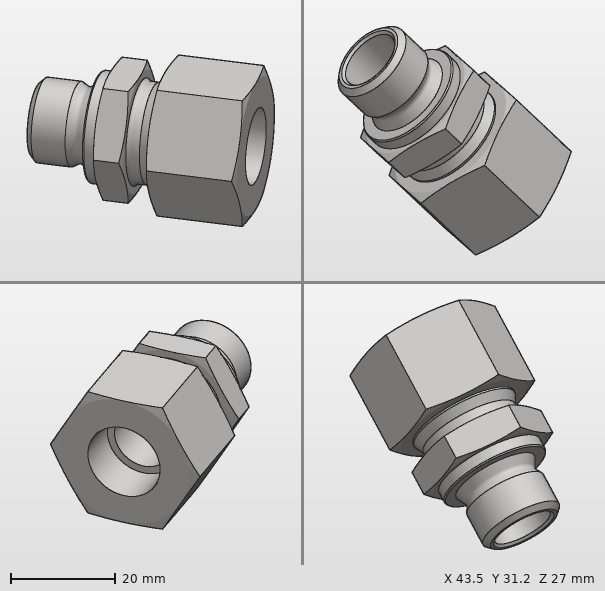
import cadquery as cq
import math


stud_thread_end = 7.87
flange_face = 12.0
collar_start = 14.55
collar_end = 20.55
relief_start = 21.5
relief_end = 23.1
tube_thread_start = 25.05
nut_start = 25.45
body_end = 34.15
nut_end = 43.5

bore_radius = 6.0
stud_radius = 8.3
neck_radius = 7.5
flange_radius = 10.95
relief_radius = 9.95
tube_thread_radius = 10.95

collar_flats = 24.0
nut_flats = 27.0
hex_chamfer_angle = 15.0

stud_chamfer = 1.15
bore_chamfer = 0.52
flange_chamfer_length = 0.3
flange_chamfer_depth = 0.2
runout_fillet = 1.3
seat_fillet = 1.0
runout_angle = 30.0
seat_angle = 27.0
relief_fillet = 1.15

tube_hole_radius = 7.53


def cylinder(start, end, radius):
    """Solid cylinder along X."""
    return cq.Workplane("YZ").workplane(offset=start).circle(radius).extrude(end - start)


def chamfered_hexagon(start, end, flats):
    """Hexagonal prism along X with its corners turned to shallow cones at both ends."""
    corner_radius = flats / math.sqrt(3)
    prism = cq.Workplane("YZ").workplane(offset=start).polygon(6, 2 * corner_radius).extrude(end - start)
    face_radius = flats / 2
    corner_cut = (corner_radius - face_radius) * math.tan(math.radians(hex_chamfer_angle))
    turned = (
        cq.Workplane("XY")
        .moveTo(start, 0)
        .lineTo(start, face_radius)
        .lineTo(start + corner_cut, corner_radius)
        .lineTo(end - corner_cut, corner_radius)
        .lineTo(end, face_radius)
        .lineTo(end, 0)
        .close()
        .revolve(360, (0, 0, 0), (1, 0, 0))
    )
    return prism.intersect(turned)


def fillet_length(fillet, angle):
    """Axial length of a neck fillet that turns from the neck direction to the given slope."""
    return fillet * math.sin(math.radians(angle))


def fillet_rise(fillet, angle):
    """Radial rise of a neck fillet that turns from the neck direction to the given slope."""
    return fillet * (1 - math.cos(math.radians(angle)))


def make_turned_profile():
    """Revolved outside of the body, from the stud end to the tube end."""
    runout_foot_radius = neck_radius + fillet_rise(runout_fillet, runout_angle)
    runout_length = (stud_radius - runout_foot_radius) / math.tan(math.radians(runout_angle))
    runout_foot = stud_thread_end + runout_length
    neck_bottom = runout_foot + fillet_length(runout_fillet, runout_angle)

    seat_foot = neck_bottom + fillet_length(seat_fillet, seat_angle)
    seat_foot_radius = neck_radius + fillet_rise(seat_fillet, seat_angle)
    seat_radius = seat_foot_radius + (flange_face - seat_foot) * math.tan(math.radians(seat_angle))

    relief_run = relief_start - collar_end
    relief_rise = relief_fillet - math.sqrt(relief_fillet**2 - relief_run**2)

    return (
        cq.Workplane("XY")
        .lineTo(0, stud_radius - stud_chamfer)
        .lineTo(stud_chamfer, stud_radius)
        .lineTo(stud_thread_end, stud_radius)
        .lineTo(runout_foot, runout_foot_radius)
        .radiusArc((neck_bottom, neck_radius), -runout_fillet)
        .radiusArc((seat_foot, seat_foot_radius), -seat_fillet)
        .lineTo(flange_face, seat_radius)
        .lineTo(flange_face, flange_radius - flange_chamfer_depth)
        .lineTo(flange_face + flange_chamfer_length, flange_radius)
        .lineTo(collar_end, flange_radius)
        .lineTo(collar_end, relief_radius + relief_rise)
        .radiusArc((relief_start, relief_radius), -relief_fillet)
        .lineTo(relief_end, relief_radius)
        .lineTo(tube_thread_start, tube_thread_radius)
        .lineTo(body_end, tube_thread_radius)
        .lineTo(body_end, 0)
        .close()
        .revolve(360, (0, 0, 0), (1, 0, 0))
    )


def make_body():
    """Stud body: turned profile, hexagon collar and a through bore chamfered at the stud end."""
    collar = chamfered_hexagon(collar_start, collar_end, collar_flats)
    bore = cylinder(0, body_end, bore_radius)
    bore_mouth = (
        cq.Workplane("XY")
        .lineTo(0, bore_radius + bore_chamfer)
        .lineTo(bore_chamfer, bore_radius)
        .lineTo(bore_chamfer, 0)
        .close()
        .revolve(360, (0, 0, 0), (1, 0, 0))
    )
    return make_turned_profile().union(collar).cut(bore).cut(bore_mouth)


def make_nut():
    """Coupling nut: hexagon bored to receive the body, with a tube hole through its far wall."""
    hexagon = chamfered_hexagon(nut_start, nut_end, nut_flats)
    thread_bore = cylinder(nut_start, body_end, tube_thread_radius)
    tube_hole = cylinder(body_end, nut_end, tube_hole_radius)
    return hexagon.cut(thread_bore).cut(tube_hole)


body = make_body()
nut = make_nut()

result = cq.Compound.makeCompound([body.val(), nut.val()])